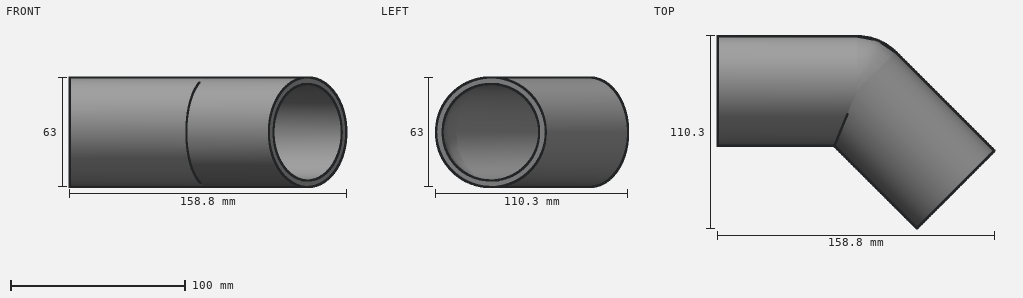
import cadquery as cq
import math

overall_length = 158.8
outer_diameter = 63.0
wall_thickness = 3.8
bend_angle = 45.0

outer_radius = outer_diameter / 2
bore_radius = outer_radius - wall_thickness
bend = math.radians(bend_angle)

leg_length = (overall_length - outer_radius * math.sin(bend)) / (1 + math.cos(bend))

straight_direction = cq.Vector(-1, 0, 0)
angled_direction = cq.Vector(math.cos(bend), -math.sin(bend), 0)


def elbow_solid(radius):
    """Two round legs joined by a ball of the same radius at the bend centre."""
    body = cq.Workplane("XY").sphere(radius)
    for direction in (straight_direction, angled_direction):
        leg = cq.Solid.makeCylinder(radius, leg_length, cq.Vector(0, 0, 0), direction)
        body = body.union(cq.Workplane(obj=leg))
    return body


result = elbow_solid(outer_radius).cut(elbow_solid(bore_radius))